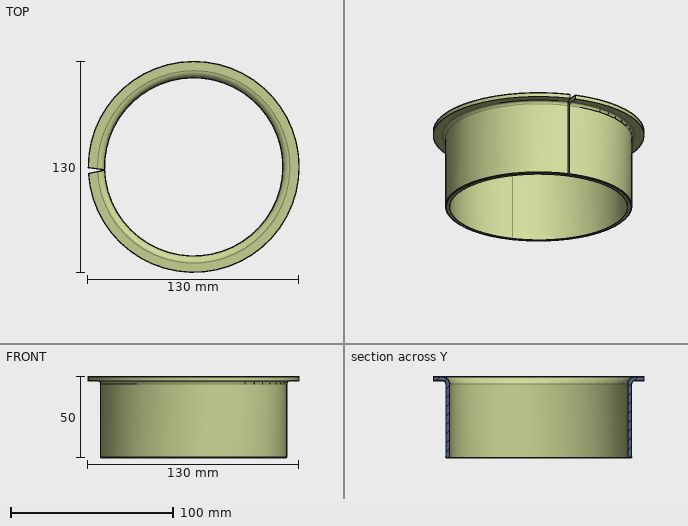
import cadquery as cq
import math

flange_radius = 65.0
sleeve_outer_radius = 57.5
wall = 2.6
height = 50.0
outer_bend_radius = 1.8
end_chamfer = 0.5

slit_angle = 182.0
slit_inner_width = 0.1
slit_flange_width = 3.5

sleeve_inner_radius = sleeve_outer_radius - wall
inner_bend_radius = outer_bend_radius + wall
bend_center_radius = sleeve_outer_radius + outer_bend_radius
bend_start_z = height - inner_bend_radius


def bend_midpoint(bend_radius):
    """Middle of the quarter bend between sleeve and flange, as (radius, z)."""
    offset = bend_radius * math.sqrt(0.5)
    return bend_center_radius - offset, bend_start_z + offset


def make_flanged_sleeve():
    """Revolve the constant-thickness wall section about Z."""
    return (
        cq.Workplane("XZ")
        .moveTo(sleeve_inner_radius, 0)
        .lineTo(sleeve_outer_radius - end_chamfer, 0)
        .lineTo(sleeve_outer_radius, end_chamfer)
        .lineTo(sleeve_outer_radius, bend_start_z)
        .threePointArc(bend_midpoint(outer_bend_radius), (bend_center_radius, height - wall))
        .lineTo(flange_radius, height - wall)
        .lineTo(flange_radius, height)
        .lineTo(bend_center_radius, height)
        .threePointArc(bend_midpoint(inner_bend_radius), (sleeve_inner_radius, bend_start_z))
        .close()
        .revolve(360, (0, 0, 0), (0, 1, 0))
    )


def make_slit_cutter():
    """Full-height wedge, extended past both faces of the wall."""
    clearance = 0.3
    taper = (slit_flange_width - slit_inner_width) / 2 / (flange_radius - sleeve_inner_radius)
    inner_half = slit_inner_width / 2
    outer_half = slit_flange_width / 2 + taper * clearance
    near = sleeve_inner_radius - clearance
    far = flange_radius + clearance
    return (
        cq.Workplane("XY")
        .polyline([
            (near, -inner_half),
            (sleeve_inner_radius, -inner_half),
            (far, -outer_half),
            (far, outer_half),
            (sleeve_inner_radius, inner_half),
            (near, inner_half),
        ])
        .close()
        .extrude(height)
        .rotate((0, 0, 0), (0, 0, 1), slit_angle)
    )


result = make_flanged_sleeve().cut(make_slit_cutter())